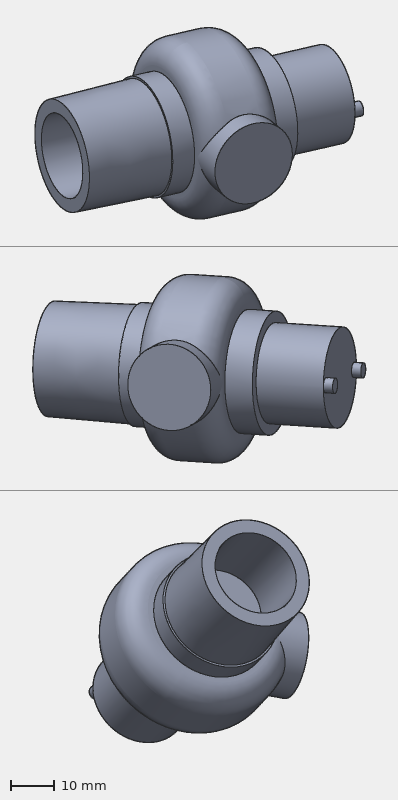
import cadquery as cq

volute_radius = 21.6
outlet_diameter = 20.3
volute_width = outlet_diameter
volute_edge_radius = 5.8
volute_face_radius = volute_radius - volute_edge_radius
outlet_end_x = 24.4

collar_diameter = 28.8
collar_front_y = -15.85
collar_back_y = 16.9

inlet_length = 21.3
inlet_base_diameter = 27.8
inlet_tip_diameter = 26.85
inlet_bore_diameter = 20.3
inlet_front_y = collar_front_y - inlet_length

motor_diameter = 23.5
motor_length = 16.45
motor_back_y = collar_back_y + motor_length

pin_diameter = 3.6
pin_length = 2.25
pin_offset = (motor_diameter - pin_diameter) / 2


def cylinder_along_y(diameter, start_y, end_y, center_x=0):
    base = cq.Vector(center_x, start_y, 0)
    solid = cq.Solid.makeCylinder(diameter / 2, end_y - start_y, base, cq.Vector(0, 1, 0))
    return cq.Workplane(obj=solid)


def make_volute():
    disc = cylinder_along_y(2 * volute_radius, -volute_width / 2, volute_width / 2)
    return disc.edges("%CIRCLE").fillet(volute_edge_radius)


def make_outlet():
    return (
        cq.Workplane("YZ", origin=(volute_face_radius, 0, 0))
        .circle(outlet_diameter / 2)
        .extrude(outlet_end_x - volute_face_radius)
    )


def make_inlet():
    cone = cq.Solid.makeCone(
        inlet_tip_diameter / 2,
        inlet_base_diameter / 2,
        inlet_length,
        cq.Vector(0, inlet_front_y, 0),
        cq.Vector(0, 1, 0),
    )
    return cq.Workplane(obj=cone)


result = make_volute().union(make_outlet())
result = result.union(cylinder_along_y(collar_diameter, collar_front_y, collar_back_y))
result = result.union(make_inlet())
result = result.union(cylinder_along_y(motor_diameter, collar_back_y, motor_back_y))

for side in (-1, 1):
    pin = cylinder_along_y(pin_diameter, motor_back_y, motor_back_y + pin_length, side * pin_offset)
    result = result.union(pin)

result = result.cut(cylinder_along_y(inlet_bore_diameter, inlet_front_y, collar_front_y))